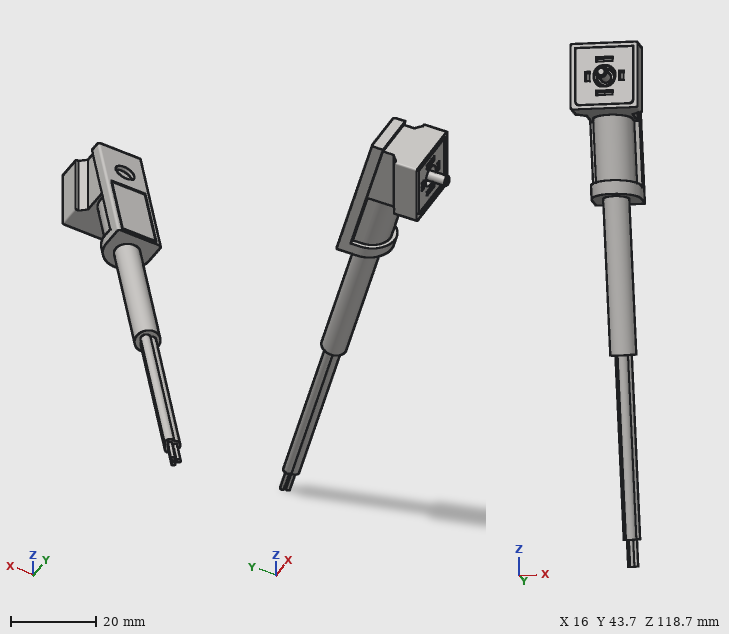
import cadquery as cq
import math

tilt = 15.0
tilt_sin = math.sin(math.radians(tilt))
tilt_cos = math.cos(math.radians(tilt))
back_normal = (0, tilt_cos, tilt_sin)

plug_width = 16.0
plug_height = 15.8
plug_depth = 5.9
plug_edge_round = 0.5
flare_half_width = 7.1
arc_sag = 0.2
neck_start = 7.4
neck_width = 10.9

frame_side = 13.8
frame_bottom_round = 1.0
frame_depth = 0.4
slot_length, slot_width = 3.9, 1.1
side_slot_length = 2.3
slot_offset = 4.0
slot_depth = 2.4
rim_diameter, rim_depth = 5.2, 1.8
bore_diameter, bore_depth = 4.0, 2.4
pin_diameter = 2.5
pin_length = 4.2
pin_chamfer = 0.4

body_top = 8.8
body_bottom = -26.1
flange_height = 3.1
body_radius = 5.88
slab_thickness = 3.0
slab_edge_round = 0.6
shank_radius = 4.6
shank_setback = 0.4
label_width = 9.1
label_top, label_bottom = -5.8, -25.0
label_depth = 0.2
screw_hole_diameter = 5.0
screw_hole_depth = 1.2

axis_y = 16.3
sleeve_diameter = 6.2
sleeve_end = -61.5
jacket_end = -103.5
wire_end = -109.6
lobe_diameter = 2.5
wire_diameter = 1.0
wire_circle_radius = 0.8
wire_count = 3
root = 1.2

stock_length = 59.4
stock_overhang = 11.9


def tilted_plane(distance=0.0):
    """Section plane across the cable axis: local X is X, local Y points to the plug face."""
    origin = (0, axis_y + distance * tilt_sin, body_bottom - distance * tilt_cos)
    return cq.Workplane(cq.Plane(origin=origin, xDir=(1, 0, 0), normal=(0, tilt_sin, -tilt_cos)))


def along_axis(height):
    """Distance along the cable axis from the body bottom down to a height."""
    return (body_bottom - height) / tilt_cos


def level_band(bottom, top):
    size = 2 * stock_length
    return cq.Workplane("XY").workplane(offset=bottom).rect(size, size).extrude(top - bottom)


def level_ends(stock, bottom, top):
    return stock.intersect(level_band(bottom, top))


def u_stock(radius):
    """Tilted bar, half-round towards the plug face and straight-sided to the back."""
    return (
        tilted_plane(stock_overhang - stock_length)
        .moveTo(-radius, -body_radius)
        .lineTo(radius, -body_radius)
        .lineTo(radius, -shank_setback)
        .threePointArc((0, radius - shank_setback), (-radius, -shank_setback))
        .close()
        .extrude(stock_length)
    )


def make_body():
    slab = (
        tilted_plane(stock_overhang - stock_length)
        .center(0, slab_thickness / 2 - body_radius)
        .rect(2 * body_radius, slab_thickness)
        .extrude(stock_length)
    )
    back_face = cq.selectors.DirectionMinMaxSelector(cq.Vector(*back_normal), True)
    long_edges = cq.selectors.ParallelDirSelector(cq.Vector(0, tilt_sin, -tilt_cos))
    body = level_ends(slab, body_bottom, body_top)
    body = body.union(level_ends(u_stock(shank_radius), body_bottom, 0))
    body = body.union(level_ends(u_stock(body_radius), body_bottom, body_bottom + flange_height))
    return body.faces(back_face).edges(long_edges).fillet(slab_edge_round)


def back_y(height):
    """Y of the slanted back face at a height."""
    return axis_y + body_radius / tilt_cos - (height - body_bottom) * tilt_sin / tilt_cos


def back_plane(height):
    """Plane on the back face, centred at a height, facing outwards."""
    return cq.Workplane(cq.Plane(origin=(0, back_y(height), height), xDir=(1, 0, 0), normal=back_normal))


def make_plug():
    block = (
        cq.Workplane("XZ")
        .rect(plug_width, plug_height)
        .extrude(-plug_depth)
        .edges("|Y")
        .fillet(plug_edge_round)
    )
    half_neck = neck_width / 2
    neck_end = back_y(0)
    arc_middle = ((flare_half_width + half_neck) / 2 - arc_sag, (plug_depth + neck_start) / 2 + arc_sag)
    neck = (
        cq.Workplane("XY")
        .workplane(offset=-plug_height / 2)
        .moveTo(-flare_half_width, plug_depth - root)
        .lineTo(flare_half_width, plug_depth - root)
        .lineTo(flare_half_width, plug_depth)
        .threePointArc(arc_middle, (half_neck, neck_start))
        .lineTo(half_neck, neck_end)
        .lineTo(-half_neck, neck_end)
        .lineTo(-half_neck, neck_start)
        .threePointArc((-arc_middle[0], arc_middle[1]), (-flare_half_width, plug_depth))
        .close()
        .extrude(plug_height)
    )
    stock_depth = 6 * body_radius
    before_back = (
        tilted_plane(stock_overhang - stock_length)
        .center(0, stock_depth / 2 - body_radius + slab_edge_round)
        .rect(plug_width, stock_depth)
        .extrude(stock_length)
    )
    return block.union(neck.intersect(before_back))


def cut_face_details(part):
    frame = (
        cq.Workplane("XZ")
        .rect(frame_side, frame_side)
        .extrude(-frame_depth)
        .edges("|Y and <Z")
        .fillet(frame_bottom_round)
    )
    part = part.cut(frame)
    for side in (-1, 1):
        level_slot = (
            cq.Workplane("XZ").center(0, side * slot_offset).rect(slot_length, slot_width).extrude(-slot_depth)
        )
        upright_slot = (
            cq.Workplane("XZ").center(side * slot_offset, 0).rect(slot_width, side_slot_length)
            .extrude(-slot_depth)
        )
        part = part.cut(level_slot).cut(upright_slot)
    part = part.cut(cq.Workplane("XZ").circle(rim_diameter / 2).extrude(-rim_depth))
    return part.cut(cq.Workplane("XZ").circle(bore_diameter / 2).extrude(-bore_depth))


def make_pin():
    return (
        cq.Workplane("XZ", origin=(0, bore_depth + root, 0))
        .circle(pin_diameter / 2)
        .extrude(pin_length + bore_depth + root)
        .faces("<Y")
        .chamfer(pin_chamfer)
    )


def cut_back_details(part):
    label_centre = (label_top + label_bottom) / 2
    label_length = (label_top - label_bottom) / tilt_cos
    label = back_plane(label_centre).rect(label_width, label_length).extrude(-label_depth)
    screw_hole = back_plane(0).circle(screw_hole_diameter / 2).extrude(-screw_hole_depth)
    return part.cut(label).cut(screw_hole)


def make_cable():
    sleeve = tilted_plane(-root).circle(sleeve_diameter / 2).extrude(along_axis(sleeve_end) + root)
    jacket_start = along_axis(sleeve_end) - root
    wire_start = along_axis(jacket_end) - root
    cable = sleeve
    for index in range(wire_count):
        angle = math.radians(90 + index * 360 / wire_count)
        centre = (wire_circle_radius * math.cos(angle), wire_circle_radius * math.sin(angle))
        lobe = (
            tilted_plane(jacket_start)
            .center(*centre)
            .circle(lobe_diameter / 2)
            .extrude(along_axis(jacket_end) - jacket_start)
        )
        wire = (
            tilted_plane(wire_start)
            .center(*centre)
            .circle(wire_diameter / 2)
            .extrude(along_axis(wire_end) - wire_start)
        )
        cable = cable.union(lobe).union(wire)
    return cable


housing = make_body().union(make_plug())
housing = cut_back_details(cut_face_details(housing))
result = housing.union(make_pin()).union(make_cable())